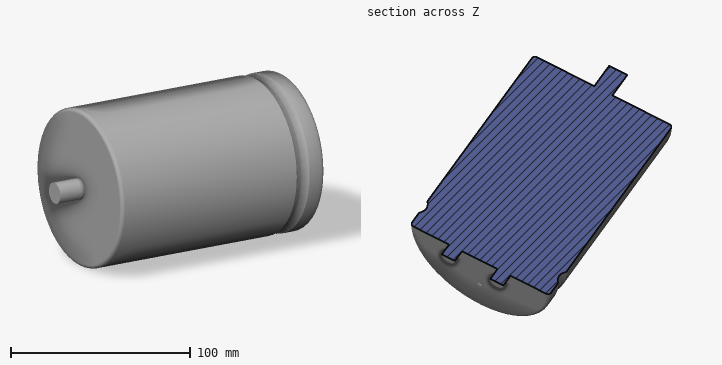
import cadquery as cq

can_diameter = 91.0
edge_radius = 2.0

overall_length = 156.6
stud_diameter = 12.0
stud_length = 16.0
terminal_diameter = 8.8
terminal_length = 7.7
terminal_spacing = 31.6
can_length = overall_length - stud_length - terminal_length

groove_width = 8.5
groove_depth = 2.0
groove_flank_depth = 1.49
groove_from_terminal_end = 14.1

disc_diameter = 2.8
disc_height = 0.5
disc_offset = 25.0

can_radius = can_diameter / 2
groove_y = can_length - groove_from_terminal_end


def rod(diameter, length, start_y, x=0.0, z=0.0):
    """Cylinder pointing along +Y from start_y."""
    return cq.Workplane("XZ", origin=(x, start_y, z)).circle(diameter / 2).extrude(-length)


def make_can():
    """Can body revolved about Y, with a crimp groove of two arcs and rounded rims."""
    flank_radius = can_radius - groove_flank_depth
    bottom_radius = can_radius - groove_depth
    profile = (
        cq.Workplane("XY")
        .lineTo(can_radius, 0)
        .lineTo(can_radius, groove_y - groove_width / 2)
        .threePointArc((flank_radius, groove_y - groove_width / 4), (bottom_radius, groove_y))
        .threePointArc(
            (flank_radius, groove_y + groove_width / 4),
            (can_radius, groove_y + groove_width / 2),
        )
        .lineTo(can_radius, can_length)
        .lineTo(0, can_length)
        .close()
    )
    can = profile.revolve(360, (0, 0, 0), (0, 1, 0))
    return can.faces("<Y or >Y").edges().fillet(edge_radius)


result = make_can()

result = result.union(rod(stud_diameter, stud_length, -stud_length))

for side in (-1, 1):
    result = result.union(
        rod(terminal_diameter, terminal_length, can_length, x=side * terminal_spacing / 2)
    )

result = result.union(rod(disc_diameter, disc_height, can_length, z=-disc_offset))